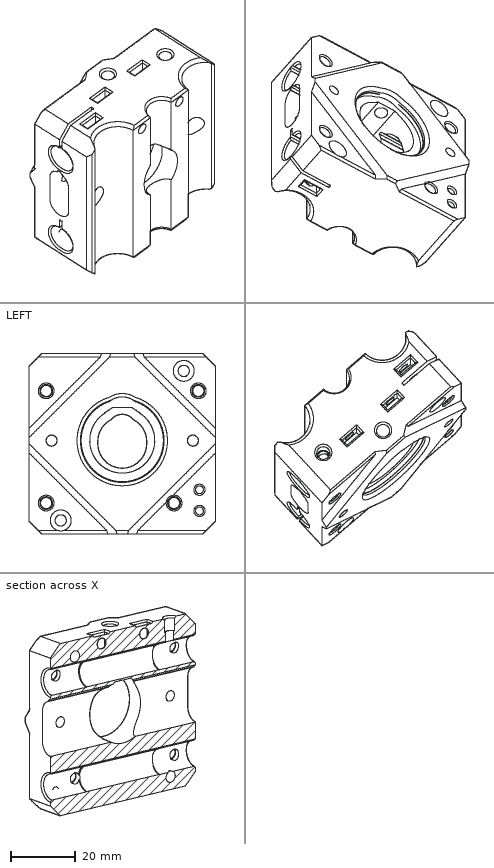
import cadquery as cq
import math

THICKNESS = 28.5
WIDTH = 58.0
HEIGHT = 56.05
CORNER_CUT = 4.0
PAD_HEIGHT = 2.05
PAD_APOTHEM = 21.1
BEVEL_X = 0.5
BEVEL_Z = 1.1
SHOULDER_X = 25.35
SHOULDER_CHAMFER = (1.35, 1.15)
ROD_SPACING = 34.0
MID_Z = -1.0
AXIS_Z = 1.0

NOTCH_X = 28.9
SIDE_NOTCH_Y = 20.0
SIDE_NOTCH_RADIUS = 7.4
SIDE_NOTCH_CHAMFER = 1.1
CENTER_NOTCH_RADIUS = 4.75
CENTER_NOTCH_CHAMFER = 0.5

SEAT_RADIUS = 13.0
SEAT_CHAMFER = 1.05
SEAT_STEP_X = 1.75
SEAT_FLOOR_RADIUS = 12.75
SEAT_FLOOR_X = 3.0
SEAT_RELIEF_RADIUS = 6.3
SEAT_RELIEF_RISE = 7.25
CAVITY_RADIUS = 10.1
CAVITY_ROOF = 10.2
CAVITY_ROOF_SLOPE = 36
CAVITY_END_X = 22.05
OUTLET_RADIUS = 7.55
OUTLET_STRETCH = 0.75
OUTLET_RELIEF_RADIUS = 4.45
OUTLET_RELIEF_RISE = 4.65

ROD_X = 13.05
ROD_RADIUS = 4.2
ROD_SPREAD = 0.495
ROD_END_LENGTH = 14.5
ROD_CHAMFER = 0.6
SLIT_WIDTH = 1.0
SLIT_TOP_RISE = 7.95
TIP_WIDE = 2.1
TIP_NARROW = 0.85
TIP_RISE = 0.7

SLOT_X = 12.5
SLOT_WIDTH = 7.9
SLOT_HEIGHT = 17.75

SCREW_RADIUS = 1.75
INSERT_RADIUS = 2.0
INSERT_DEPTH = 4.65
INSERT_CHAMFER = 0.45
TOP_SCREW_RADIUS = 2.05
TOP_SCREW_CHAMFER = 0.65
SCREW_RISE = 17.4
SET_SCREWS = ((23.6, 1), (-23.6, 1), (23.6, -1), (-16.05, -1))
PIN_RADIUS = 1.2
PIN_CHAMFER = 0.5
PIN_Y = -23.95
PIN_HEIGHTS = (-14.25, -20.8)
PIN_END_X = 8.7
HEAD_RADIUS = 3.25
CLEARANCE_RADIUS = 1.7
THROUGH_Y = 21.9
THROUGH_HEAD_X = 12.5
CLAMP_Y = 19.1
CLAMP_RISE = 23.2
CLAMP_MID_Z = -0.6
CLAMP_HEAD_X = 7.55
CLAMP_END_X = 19.7
ROD_SCREW_Y = 18.6
SEAT_SCREW_X = 6.05

NUT_THICKNESS = 2.2
NUT_WIDTH = 5.85
NUT_CHAMFER = 0.6
BELT_NUT_X = 11.15
BELT_NUT_Y = 8.45
BELT_NUT_DEPTH = 5.8
BELT_SCREW_DEPTH = 3.25
CLAMP_NUT_X = 16.9
CLAMP_NUT_DEPTH = 8.1

TOP = HEIGHT / 2
SIDE = WIDTH / 2


def cylinder_x(radius, start, end, y, z):
    return cq.Workplane("YZ", origin=(start, y, z)).circle(radius).extrude(end - start)


def cone(radius_start, radius_end, length, point, direction):
    solid = cq.Solid.makeCone(radius_start, radius_end, length, cq.Vector(*point), cq.Vector(*direction))
    return cq.Workplane(solid)


def hole_x(radius, chamfer, start, end, y, z):
    """Hole along +X with a 45 degree mouth chamfer at its start."""
    mouth = cone(radius + chamfer, radius, chamfer, (start, y, z), (1, 0, 0))
    return cylinder_x(radius, start, end, y, z).union(mouth)


def hole_down(radius, chamfer, x, y, depth):
    """Hole from the top face with a 45 degree mouth chamfer."""
    shaft = cq.Workplane("XY", origin=(x, y, TOP - depth)).circle(radius).extrude(depth)
    return shaft.union(cone(radius + chamfer, radius, chamfer, (x, y, TOP), (0, 0, -1)))


def beveled_block(start):
    """Block from X = start to the +X face, with cut corners and beveled top and bottom."""
    side_outline = (
        cq.Workplane("XZ", origin=(0, SIDE, 0))
        .moveTo(start + BEVEL_X, TOP)
        .lineTo(THICKNESS - BEVEL_X, TOP)
        .lineTo(THICKNESS, TOP - BEVEL_Z)
        .lineTo(THICKNESS, BEVEL_Z - TOP)
        .lineTo(THICKNESS - BEVEL_X, -TOP)
        .lineTo(start + BEVEL_X, -TOP)
        .lineTo(start, BEVEL_Z - TOP)
        .lineTo(start, TOP - BEVEL_Z)
        .close()
        .extrude(WIDTH)
    )
    octagon = cq.Workplane("YZ").rect(WIDTH, HEIGHT).extrude(THICKNESS).edges("|X").chamfer(CORNER_CUT)
    return side_outline.intersect(octagon)


def body():
    """Block with recessed corner faces around a diamond pad with 45 degree sides."""
    slope_end = PAD_HEIGHT + 2 * BEVEL_X
    pad = (
        cq.Workplane("YZ", origin=(0, 0, AXIS_Z))
        .transformed(rotate=(0, 0, 45))
        .rect(2 * PAD_APOTHEM, 2 * PAD_APOTHEM)
        .extrude(slope_end, taper=-45)
    )
    return beveled_block(PAD_HEIGHT).union(beveled_block(0).intersect(pad))


def notch(y, radius, chamfer):
    """Vertical round notch in the +X face, chamfered at the top and bottom."""
    cutter = cq.Workplane("XY", origin=(NOTCH_X, y, -TOP)).circle(radius).extrude(HEIGHT)
    for end in (-1, 1):
        mouth = cone(radius + chamfer, radius, BEVEL_Z, (NOTCH_X, y, end * TOP), (0, 0, -end))
        cutter = cutter.union(mouth)
    return cutter


def shoulder(side):
    """Outer land on the +X side of one end, with its chamfer."""
    chamfer_x, chamfer_y = SHOULDER_CHAMFER
    return (
        cq.Workplane("XY", origin=(0, 0, -TOP))
        .moveTo(SHOULDER_X - chamfer_x, side * SIDE)
        .lineTo(SHOULDER_X, side * (SIDE - chamfer_y))
        .lineTo(SHOULDER_X, side * SIDE_NOTCH_Y)
        .lineTo(THICKNESS, side * SIDE_NOTCH_Y)
        .lineTo(THICKNESS, side * SIDE)
        .close()
        .extrude(HEIGHT)
    )


def bearing_seat():
    """Chamfered stepped seat with a roof relief, the cavity behind it and the outlet."""
    relief_z = AXIS_Z + SEAT_RELIEF_RISE
    seat = hole_x(SEAT_RADIUS, SEAT_CHAMFER, 0, SEAT_STEP_X, 0, AXIS_Z)
    seat = seat.union(cylinder_x(SEAT_FLOOR_RADIUS, 0, SEAT_FLOOR_X, 0, AXIS_Z))
    seat = seat.union(hole_x(SEAT_RELIEF_RADIUS, SEAT_CHAMFER, 0, SEAT_FLOOR_X, 0, relief_z))

    slope = math.radians(CAVITY_ROOF_SLOPE)
    tangent_y = CAVITY_RADIUS * math.sin(slope)
    tangent_z = CAVITY_RADIUS * math.cos(slope)
    roof_y = (CAVITY_RADIUS - CAVITY_ROOF * math.cos(slope)) / math.sin(slope)
    cavity = (
        cq.Workplane("YZ", origin=(0, 0, AXIS_Z))
        .moveTo(roof_y, CAVITY_ROOF)
        .lineTo(tangent_y, tangent_z)
        .threePointArc((0, -CAVITY_RADIUS), (-tangent_y, tangent_z))
        .lineTo(-roof_y, CAVITY_ROOF)
        .close()
        .extrude(CAVITY_END_X)
    )
    outlet = (
        cq.Workplane("YZ", origin=(0, 0, OUTLET_STRETCH / 2))
        .slot2D(2 * OUTLET_RADIUS + OUTLET_STRETCH, 2 * OUTLET_RADIUS, 90)
        .extrude(THICKNESS)
    )
    outlet_relief = cylinder_x(OUTLET_RELIEF_RADIUS, 0, THICKNESS, 0, OUTLET_RELIEF_RISE)
    return seat.union(cavity).union(outlet).union(outlet_relief)


def roof_tip(x, base_z):
    """Small trapezoid relief running the full width along Y."""
    return (
        cq.Workplane("XZ", origin=(x, SIDE, base_z))
        .moveTo(-TIP_WIDE / 2, -TIP_RISE)
        .lineTo(-TIP_WIDE / 2, 0)
        .lineTo(-TIP_NARROW / 2, TIP_RISE)
        .lineTo(TIP_NARROW / 2, TIP_RISE)
        .lineTo(TIP_WIDE / 2, 0)
        .lineTo(TIP_WIDE / 2, -TIP_RISE)
        .close()
        .extrude(WIDTH)
    )


def rod_bore(z):
    """Round bore with widened, chamfered end sections and a roof tip."""
    bore = cq.Workplane("XZ", origin=(ROD_X, SIDE, z)).circle(ROD_RADIUS).extrude(WIDTH)
    for end in (-1, 1):
        section = cq.Workplane("XZ", origin=(ROD_X, end * SIDE, z))
        length = 2 * (ROD_SPREAD + ROD_RADIUS)
        bore = bore.union(section.slot2D(length, 2 * ROD_RADIUS).extrude(end * ROD_END_LENGTH))
        mouth_width = 2 * (ROD_RADIUS + ROD_CHAMFER)
        mouth = section.slot2D(length + 2 * ROD_CHAMFER, mouth_width).extrude(end * ROD_CHAMFER, taper=45)
        bore = bore.union(mouth)
    return bore.union(roof_tip(ROD_X, z + ROD_RADIUS))


def slit(y_start, y_end, z_start, z_end):
    size = (SLIT_WIDTH, y_end - y_start, z_end - z_start)
    return cq.Workplane("XY").box(*size, centered=(True, False, False)).translate((ROD_X, y_start, z_start))


def side_slot():
    slot = (
        cq.Workplane("XZ", origin=(SLOT_X, SIDE, AXIS_Z))
        .slot2D(SLOT_HEIGHT, SLOT_WIDTH, 90)
        .extrude(WIDTH)
    )
    return slot.union(roof_tip(SLOT_X, AXIS_Z + SLOT_HEIGHT / 2))


def nut_pocket(x, y, depth, end):
    """Rectangular nut pocket sunk from the top (end = 1) or the bottom (end = -1)."""
    face = cq.Workplane("XY", origin=(x, y, end * TOP))
    pocket = face.rect(NUT_THICKNESS, NUT_WIDTH).extrude(-end * depth)
    mouth = face.rect(NUT_THICKNESS + 2 * NUT_CHAMFER, NUT_WIDTH + 2 * NUT_CHAMFER)
    return pocket.union(mouth.extrude(-end * NUT_CHAMFER, taper=45))


def rod_clamp(end):
    """Clamp slit, screw and nut pocket; the upper clamp is at -Y and the lower one at +Y."""
    y = -end * CLAMP_Y
    y_range = sorted((-end * SIDE, -end * (SIDE - ROD_END_LENGTH)))
    z = CLAMP_MID_Z + end * CLAMP_RISE
    rod_z = MID_Z + end * ROD_SPACING / 2
    z_range = sorted((rod_z, end * TOP))
    clamp = slit(*y_range, *z_range)
    clamp = clamp.union(cylinder_x(HEAD_RADIUS, PAD_HEIGHT, CLAMP_HEAD_X, y, z))
    clamp = clamp.union(cylinder_x(SCREW_RADIUS, PAD_HEIGHT, CLAMP_END_X, y, z))
    return clamp.union(nut_pocket(CLAMP_NUT_X, y, CLAMP_NUT_DEPTH, end))


result = body()
for side in (-1, 1):
    result = result.cut(shoulder(side))
    result = result.cut(notch(side * SIDE_NOTCH_Y, SIDE_NOTCH_RADIUS, SIDE_NOTCH_CHAMFER))
result = result.cut(notch(0, CENTER_NOTCH_RADIUS, CENTER_NOTCH_CHAMFER))
result = result.cut(bearing_seat())
result = result.cut(side_slot())

upper_rod_z = MID_Z + ROD_SPACING / 2
lower_rod_z = MID_Z - ROD_SPACING / 2
for end, rod_z in ((1, upper_rod_z), (-1, lower_rod_z)):
    result = result.cut(rod_bore(rod_z))
    result = result.cut(rod_clamp(end))
result = result.cut(slit(-SIDE, SIDE, lower_rod_z, lower_rod_z + SLIT_TOP_RISE))

for y, end in SET_SCREWS:
    z = MID_Z + end * SCREW_RISE
    result = result.cut(hole_x(INSERT_RADIUS, INSERT_CHAMFER, PAD_HEIGHT, PAD_HEIGHT + INSERT_DEPTH, y, z))
    result = result.cut(cylinder_x(SCREW_RADIUS, PAD_HEIGHT, ROD_X, y, z))
result = result.cut(hole_down(TOP_SCREW_RADIUS, TOP_SCREW_CHAMFER, ROD_X, ROD_SCREW_Y, INSERT_DEPTH))
result = result.cut(hole_down(SCREW_RADIUS, TOP_SCREW_CHAMFER, ROD_X, ROD_SCREW_Y, TOP - upper_rod_z))
result = result.cut(hole_down(TOP_SCREW_RADIUS, TOP_SCREW_CHAMFER, SEAT_SCREW_X, 0, TOP - AXIS_Z))

for z in PIN_HEIGHTS:
    result = result.cut(hole_x(PIN_RADIUS, PIN_CHAMFER, PAD_HEIGHT, PIN_END_X, PIN_Y, z))
for side in (-1, 1):
    y = side * THROUGH_Y
    result = result.cut(cylinder_x(CLEARANCE_RADIUS, 0, THICKNESS, y, AXIS_Z))
    result = result.cut(cylinder_x(HEAD_RADIUS, THROUGH_HEAD_X, THICKNESS, y, AXIS_Z))

for side in (-1, 1):
    y = side * BELT_NUT_Y
    result = result.cut(nut_pocket(BELT_NUT_X, y, BELT_NUT_DEPTH, 1))
    result = result.cut(cylinder_x(CLEARANCE_RADIUS, BELT_NUT_X, THICKNESS, y, TOP - BELT_SCREW_DEPTH))